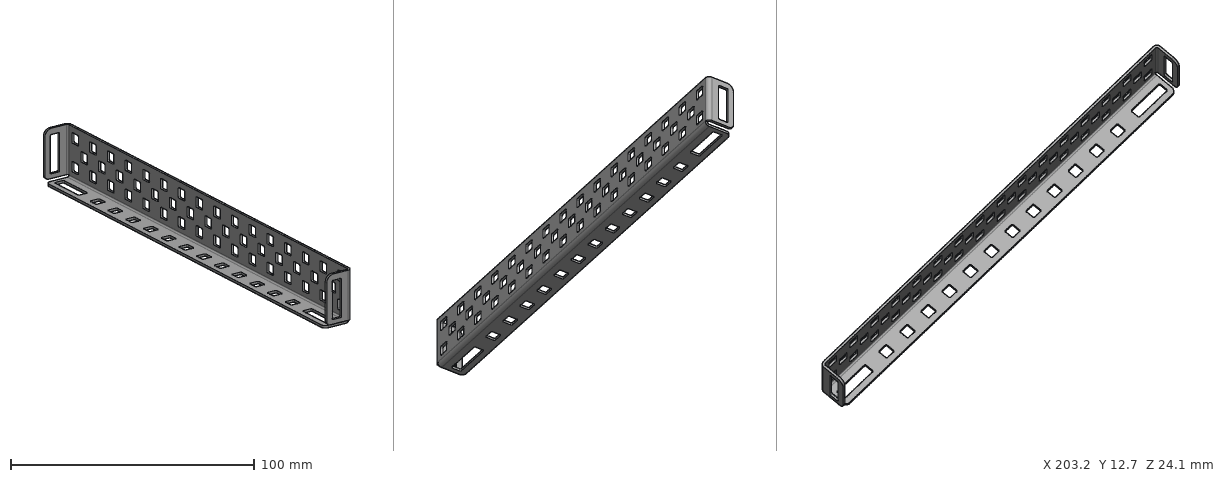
import cadquery as cq

length = 203.2
depth = 12.7
height = 24.13

thickness = 1.168
inner_bend_radius = 0.762
outer_bend_radius = thickness + inner_bend_radius
corner_notch = outer_bend_radius

pitch = 12.7
half_pitch = pitch / 2
hole_size = 4.58
hole_corner_radius = 0.508
columns_per_slot = 2
slot_length = hole_size + (columns_per_slot - 1) * pitch
flange_row_inset = 5.08

end_top_radius = 3.3
end_bottom_radius = 1.9
bottom_corner_radius = 2.2

half_length = length / 2
column_count = round(length / pitch)
column_x = [(index + 0.5) * pitch - half_length for index in range(column_count)]
lower_row = half_pitch
middle_row = lower_row + half_pitch
upper_row = lower_row + pitch
flange_row = flange_row_inset - depth
sheet_reach = 2 * thickness


def web_with_end_flanges():
    """Back web and both end flanges, bent from one strip above the corner notches."""
    strip_height = height - corner_notch
    outside = (
        cq.Workplane("XY", origin=(0, -depth / 2, corner_notch))
        .rect(length, depth)
        .extrude(strip_height)
        .edges("|Z and >Y")
        .fillet(outer_bend_radius)
    )
    inside = (
        cq.Workplane("XY", origin=(0, -depth / 2 - thickness, corner_notch))
        .rect(length - 2 * thickness, depth)
        .extrude(strip_height)
        .edges("|Z and >Y")
        .fillet(inner_bend_radius)
    )
    bent = outside.cut(inside)
    bent = bent.edges("|X and <Y and >Z").fillet(end_top_radius)
    return bent.edges("|X and <Y and <Z").fillet(end_bottom_radius)


def web_with_bottom_flange():
    """Back web and bottom flange, bent from one strip between the corner notches."""
    strip_length = length - 2 * corner_notch
    outside = (
        cq.Workplane("XY", origin=(0, -depth / 2, 0))
        .box(strip_length, depth, height, centered=(True, True, False))
        .edges("|X and >Y and <Z")
        .fillet(outer_bend_radius)
    )
    inside = (
        cq.Workplane("XY", origin=(0, -depth / 2 - thickness, thickness))
        .box(strip_length, depth, height, centered=(True, True, False))
        .edges("|X and >Y and <Z")
        .fillet(inner_bend_radius)
    )
    bent = outside.cut(inside)
    return bent.edges("|Z and <Y").fillet(bottom_corner_radius)


def openings(plane, centres, size_u, size_v, reach):
    """Cutters with rounded corners at the given plane positions, reaching both ways from the plane."""
    outline = cq.Sketch().rect(size_u, size_v).vertices().fillet(hole_corner_radius)
    return cq.Workplane(plane).pushPoints(centres).placeSketch(outline).extrude(reach, both=True)


def web_holes():
    """Two rows of square holes on the columns and a middle row staggered between them."""
    staggered_x = [x + half_pitch for x in column_x[:-1]]
    centres = [(x, z) for z in (lower_row, upper_row) for x in column_x]
    centres += [(x, middle_row) for x in staggered_x]
    return openings("XZ", centres, hole_size, hole_size, sheet_reach)


def bottom_holes():
    """Row of square holes; a slot takes the place of the last holes at each end."""
    holes_x = column_x[columns_per_slot:-columns_per_slot]
    slot_x = half_length - columns_per_slot * pitch / 2
    holes = openings("XY", [(x, flange_row) for x in holes_x], hole_size, hole_size, sheet_reach)
    slot_centres = [(-slot_x, flange_row), (slot_x, flange_row)]
    slots = openings("XY", slot_centres, slot_length, hole_size, sheet_reach)
    return holes.union(slots)


def end_slots():
    """One upright slot through both end flanges."""
    return openings("YZ", [(flange_row, middle_row)], hole_size, slot_length, length)


result = (
    web_with_end_flanges()
    .union(web_with_bottom_flange())
    .cut(web_holes())
    .cut(bottom_holes())
    .cut(end_slots())
)